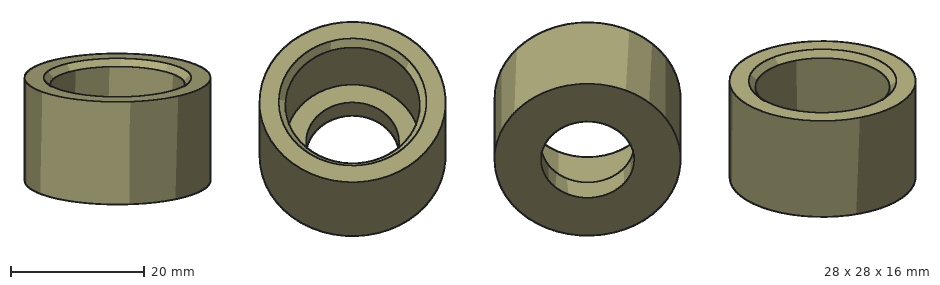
import cadquery as cq

outer_diameter = 28.0
height = 16.0
through_hole_diameter = 14.0
bore_diameter = 20.2
floor_thickness = 4.0
rim_chamfer = 1.0

bore_depth = height - floor_thickness
bore_radius = bore_diameter / 2
mouth_radius = bore_radius + rim_chamfer


def make_body():
    """Plain cylinder standing on the XY plane."""
    return cq.Workplane("XY").circle(outer_diameter / 2).extrude(height)


def cut_stepped_bore(body):
    """Through hole with a wider flat-bottomed bore entering from the top."""
    return body.faces(">Z").workplane().cboreHole(through_hole_diameter, bore_diameter, bore_depth)


def make_lead_in():
    """Conical ring that opens the mouth of the bore, as a revolved triangle."""
    return (
        cq.Workplane("XZ")
        .moveTo(bore_radius, height)
        .lineTo(mouth_radius, height)
        .lineTo(bore_radius, height - rim_chamfer)
        .close()
        .revolve(360, (0, 0, 0), (0, 1, 0))
    )


result = cut_stepped_bore(make_body()).cut(make_lead_in())